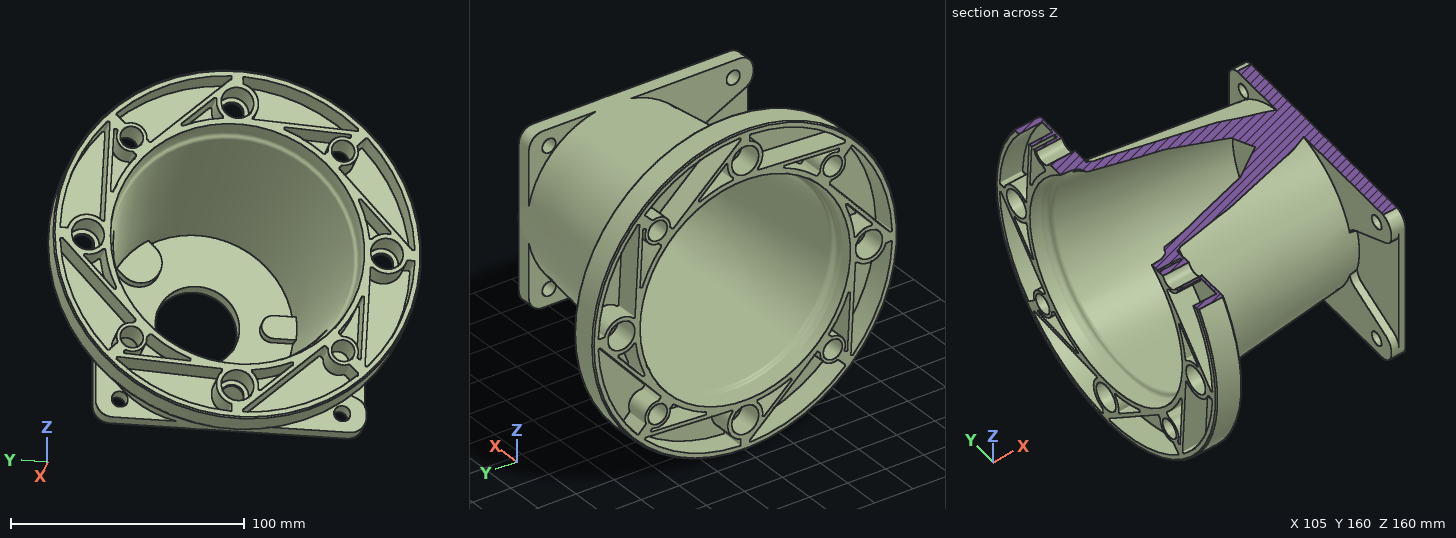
import cadquery as cq
import math

flange_radius = 80.0
flange_thickness = 13.8
flange_chamfer = 0.6
pocket_depth = 12.2
rim_inner_radius = 77.1
hub_ring_radius = 57.8
pocket_corner_radius = 0.6

boss_count = 8
boss_pitch = 360.0 / boss_count
boss_circle_radius = 65.0
large_boss_radius = 9.1
small_boss_radius = 6.5
flange_hole_diameter = 10.0
counterbore_diameter = 14.0

radial_rib_width = 4.8
inner_rib_width = 8.6
slanted_rib_thickness = 2.0
slanted_rib_distance = 57.1
slanted_rib_angle = 3.0

hub_radius = 55.0
hub_end = 14.7
cone_start = 16.3
cone_start_radius = 54.4
overall_length = 105.0
cone_end_radius = 44.5

mouth_radius = 55.2
mouth_depth = 5.6
mouth_end_radius = 54.9
step_start = 8.0
step_start_radius = 54.2
step_end = 10.7
step_end_radius = 52.2
floor_start = 97.6
floor_radius = 41.8
center_hole_diameter = 36.5

pad_top = 92.8
wide_pad_radius = 9.8
wide_pad_center = 36.8
wide_pad_angles = (45.0, -45.0)
narrow_pad_radius = 5.3
narrow_pad_center = 32.3
narrow_pad_angle = 180.0
pad_reach = 43.2

plate_thickness = 7.5
plate_start = overall_length - plate_thickness
plate_half_height = 44.3
plate_y_max = 44.3
plate_y_min = -73.5
plate_corner_radius = 7.4
plate_hole_diameter = 7.0
plate_hole_spacing_y = 96.6
plate_hole_spacing_z = 71.7

recess_depth = 4.0
recess_inner_y = -43.2
recess_inner_half_height = 15.7
recess_outer_half_height = 30.5
recess_corner_radius = 6.7


def plane_at(x):
    """Sketch plane normal to X, with sketch x along Y and sketch y along Z."""
    return cq.Workplane("YZ", origin=(x, 0, 0))


def cylinder(radius, start, end):
    return plane_at(start).circle(radius).extrude(end - start)


def turn(shape, angle):
    """Rotate about the X axis."""
    return shape.rotate((0, 0, 0), (1, 0, 0), angle)


def polar(radius, angle):
    return (radius * math.cos(math.radians(angle)), radius * math.sin(math.radians(angle)))


boss_angles = [boss_pitch * i for i in range(boss_count)]
large_boss_points = [polar(boss_circle_radius, a) for a in boss_angles[0::2]]
small_boss_points = [polar(boss_circle_radius, a) for a in boss_angles[1::2]]


def flange_pockets():
    """The hollows between rim, hub ring, bosses and ribs."""
    pockets = plane_at(0).circle(rim_inner_radius).circle(hub_ring_radius).extrude(pocket_depth)
    large_bosses = plane_at(0).pushPoints(large_boss_points).circle(large_boss_radius).extrude(pocket_depth)
    small_bosses = plane_at(0).pushPoints(small_boss_points).circle(small_boss_radius).extrude(pocket_depth)
    pockets = pockets.cut(large_bosses).cut(small_bosses)

    radial_length = flange_radius - boss_circle_radius
    radial_rib = plane_at(0).center(boss_circle_radius + radial_length / 2, 0)
    radial_rib = radial_rib.rect(radial_length, radial_rib_width).extrude(pocket_depth)
    slanted_rib = plane_at(0).center(slanted_rib_distance, flange_radius / 2)
    slanted_rib = slanted_rib.rect(slanted_rib_thickness, flange_radius).extrude(pocket_depth)
    slanted_rib = turn(slanted_rib, slanted_rib_angle)
    inner_rib = plane_at(0).center(boss_circle_radius / 2, 0)
    inner_rib = inner_rib.rect(boss_circle_radius, inner_rib_width).extrude(pocket_depth)
    for angle in boss_angles[1::2]:
        pockets = pockets.cut(turn(inner_rib, angle))
    for angle in boss_angles:
        pockets = pockets.cut(turn(radial_rib, angle)).cut(turn(slanted_rib, angle))
    return pockets.edges("|X").fillet(pocket_corner_radius)


def flange():
    disc = cylinder(flange_radius, 0, flange_thickness).edges().chamfer(flange_chamfer)
    return disc.cut(flange_pockets())


def flange_holes():
    all_points = large_boss_points + small_boss_points
    holes = plane_at(0).pushPoints(all_points).circle(flange_hole_diameter / 2).extrude(flange_thickness)
    counterbores = plane_at(0).pushPoints(large_boss_points).circle(counterbore_diameter / 2)
    return holes.union(counterbores.extrude(pocket_depth))


def body():
    outline = [
        (0, 0),
        (0, hub_radius),
        (hub_end, hub_radius),
        (cone_start, cone_start_radius),
        (overall_length, cone_end_radius),
        (overall_length, 0),
    ]
    return cq.Workplane("XY").polyline(outline).close().revolve(360, (0, 0, 0), (1, 0, 0))


def bore():
    step_middle = ((step_start + step_end) / 2, (step_start_radius + step_end_radius) / 2)
    profile = (
        cq.Workplane("XY")
        .lineTo(0, mouth_radius)
        .lineTo(mouth_depth, mouth_end_radius)
        .lineTo(step_start, step_start_radius)
        .tangentArcPoint(step_middle, relative=False)
        .tangentArcPoint((step_end, step_end_radius), relative=False)
        .lineTo(floor_start, floor_radius)
        .lineTo(floor_start, 0)
        .close()
    )
    return profile.revolve(360, (0, 0, 0), (1, 0, 0))


def floor_pad(radius, center, angle):
    """A pad with a round inner end that runs straight out into the body wall."""
    height = floor_start - pad_top
    pad = plane_at(pad_top).center(center, 0).circle(radius).extrude(height)
    arm = plane_at(pad_top).center((center + pad_reach) / 2, 0).rect(pad_reach - center, 2 * radius)
    pad = pad.union(arm.extrude(height)).intersect(cylinder(pad_reach, pad_top, floor_start))
    return turn(pad, angle)


def end_plate():
    middle_y = (plate_y_max + plate_y_min) / 2
    plate = plane_at(plate_start).center(middle_y, 0)
    plate = plate.rect(plate_y_max - plate_y_min, 2 * plate_half_height).extrude(plate_thickness)
    plate = plate.edges("|X").fillet(plate_corner_radius)

    recess_points = [
        (plate_y_min, recess_outer_half_height),
        (recess_inner_y, recess_inner_half_height),
        (recess_inner_y, -recess_inner_half_height),
        (plate_y_min, -recess_outer_half_height),
    ]
    recess = plane_at(plate_start).polyline(recess_points).close().extrude(recess_depth)
    recess = recess.edges("|X and >Y").fillet(recess_corner_radius)
    plate = plate.cut(recess)
    recess_mouth = cq.selectors.BoxSelector(
        (plate_start - 1.6, plate_y_min - 1.6, -recess_outer_half_height - 1.6),
        (plate_start + recess_depth, plate_y_min + 1.6, recess_outer_half_height + 1.6),
    )
    plate = plate.edges("|X").edges(recess_mouth).fillet(recess_corner_radius)

    holes = plane_at(plate_start).center(middle_y, 0)
    holes = holes.rect(plate_hole_spacing_y, plate_hole_spacing_z, forConstruction=True).vertices()
    return plate.cut(holes.circle(plate_hole_diameter / 2).extrude(plate_thickness))


result = flange().union(body()).union(end_plate()).cut(bore())
for pad_angle in wide_pad_angles:
    result = result.union(floor_pad(wide_pad_radius, wide_pad_center, pad_angle))
result = result.union(floor_pad(narrow_pad_radius, narrow_pad_center, narrow_pad_angle))
result = result.cut(cylinder(center_hole_diameter / 2, floor_start, overall_length))
result = result.cut(flange_holes())